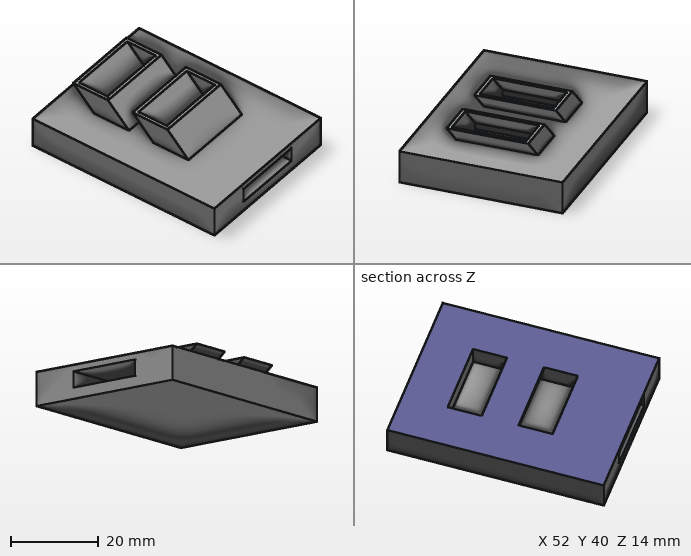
import cadquery as cq

length = 52.0
width = 40.0
base_height = 8.0

spout_rise = 6.0
spout_lean = spout_rise
spout_length = 10.0
spout_width = 20.0
spout_wall = 1.0
spout_pitch = 17.0
first_spout_x = 10.0
spout_count = 2

duct_roof = 1.55
duct_floor = 2.65

overlap = 0.5
bore_length = spout_length - 2 * spout_wall
bore_width = spout_width - 2 * spout_wall
first_bore_x = first_spout_x + spout_wall
spout_positions = [index * spout_pitch for index in range(spout_count)]


def centred_box(x_start, x_size, y_size, z_bottom, z_top):
    """Box centred across the plate width."""
    box = cq.Workplane("XY").box(x_size, y_size, z_top - z_bottom, centered=(False, True, False))
    return box.translate((x_start, width / 2, z_bottom))


def slanted_prism(x_start, x_size, y_size):
    """Leaning prism standing on the plate top."""
    profile = cq.Workplane("XZ").polyline([
        (x_start, base_height),
        (x_start + x_size, base_height),
        (x_start + x_size - spout_lean, base_height + spout_rise),
        (x_start - spout_lean, base_height + spout_rise),
    ]).close()
    return profile.extrude(y_size / 2, both=True).translate((0, width / 2, 0))


def spout_body(offset):
    """Solid spout with a root sunk into the plate."""
    x_start = first_spout_x + offset
    root = centred_box(x_start, spout_length, spout_width, base_height - overlap, base_height)
    return slanted_prism(x_start, spout_length, spout_width).union(root)


def spout_bore(offset):
    """Slanted passage continued by a vertical pocket down to the duct floor."""
    x_start = first_bore_x + offset
    pocket = centred_box(x_start, bore_length, bore_width, duct_floor, base_height)
    return slanted_prism(x_start, bore_length, bore_width).union(pocket)


result = cq.Workplane("XY").box(length, width, base_height, centered=False)
for position in spout_positions:
    result = result.union(spout_body(position))
for position in spout_positions:
    result = result.cut(spout_bore(position))

duct = centred_box(first_bore_x, length - first_bore_x, bore_width, duct_floor, base_height - duct_roof)
result = result.cut(duct)